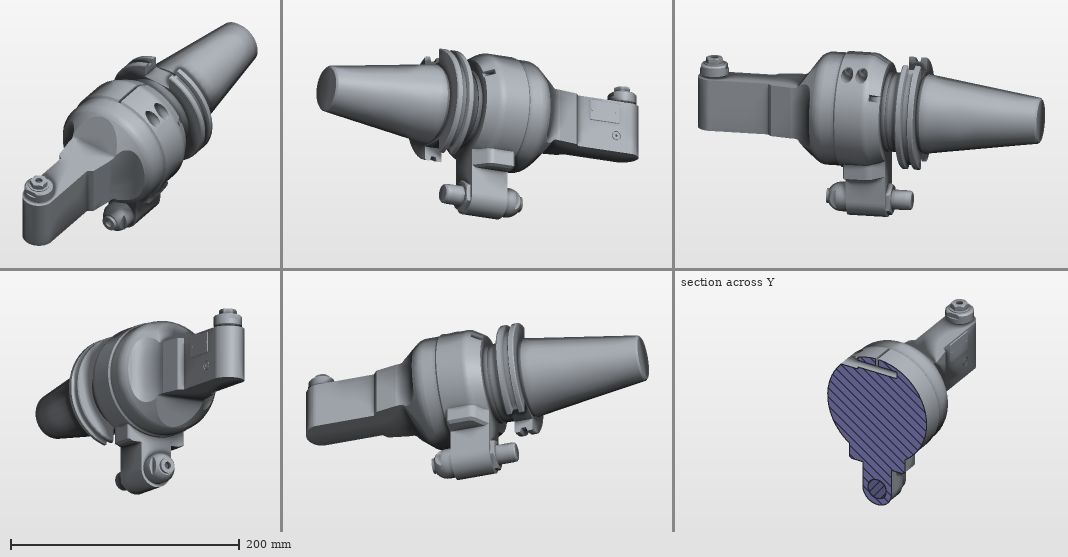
import cadquery as cq
import math


taper_length = 101.8
taper_large_radius = 35.1
taper_ratio = 7 / 24
taper_end_chamfer = 1.5
undercut_depth = 1.2
flange_radius = 49.5
flange_rear_y = -2.8
flange_front_y = -19.0
flange_edge_chamfer = 1.0
flange_groove_depth = 4.0
flange_groove_floor = 4.3
flange_groove_mouth = 6.7
flange_slot_width = 26.5
flange_slot_floor = 35.3
neck_radius = 35.0
neck_front_y = -28.5
spigot_radius = 33.7
spigot_front_y = -36.8

seal_rear_y = -30.7
ring_rear_y = -34.3
ring_cone_front_y = -43.2
ring_round_front_y = -50.0
ring_front_y = -72.3
ring_rear_radius = 43.5
ring_cone_radius = 48.9
ring_radius = 51.05
head_rear_y = -74.0
head_radius = 49.7
head_round_rear_y = -86.0
nose_rear_y = -93.5
nose_radius = 47.2
nose_cone_angle = 38.0
nose_core_radius = 33.7

spindle_y = -190.2
arm_half_height = 23.15
arm_half_width = 14.25
arm_tip_radius = 14.55
arm_tip_blend_radius = 8.5
waist_rear_y = -96.3
waist_rear_half_width = 41.0
waist_radius = 20.8
waist_front_y = -117.5
waist_half_width = 22.0
shoulder_rear_y = -135.8
shoulder_half_width = 18.7
shoulder_front_y = -139.5
slope_rear_y = -95.0
slope_rear_z = 45.7
slope_front_y = -111.3
slope_blend_radius = 4.0

slit_width = 2.5
slit_floor_z = 40.5
clamp_screw_y = (-52.0, -65.0)
clamp_screw_z = 40.5
clamp_counterbore_diameter = 10.5
clamp_counterbore_floor_x = 20.0
clamp_hole_diameter = 6.5
clamp_hole_end_x = -20.0
spanner_slot_angle = 30.0
spanner_slot_width = 5.8
spanner_slot_floor_radius = 41.7

bracket_front_y = -69.5
bracket_top_z = -38.3
bracket_half_width = 28.8
bracket_shoulder_half_width = 25.7
bracket_bottom_z = -57.0
bracket_edge_chamfer_width = 1.8
bracket_edge_chamfer_height = 3.0
bracket_corner_chamfer = 1.2
stem_half_width = 15.0
stem_bottom_z = -95.8

plate_length = 29.5
plate_height = 18.7
plate_center_y = -165.5
plate_center_z = 12.0
plate_thickness = 0.5
plate_corner_radius = 1.5
plate_edge_chamfer = 0.45
rivet_spacing = 24.0
rivet_diameter = 2.5
rivet_height = 1.07
plug_y = -177.2
plug_z = -8.5
plug_diameter = 7.0
plug_groove_diameter = 8.5
plug_groove_depth = 1.0
plug_socket_diameter = 2.6
plug_socket_depth = 1.8

pin_z = -80.0
pin_rear_y = -13.2
pin_diameter = 18.0
pin_chamfer = 1.2
pin_rear_diameter = 17.5
pin_rear_taper_front_y = -17.8
pin_rear_taper_depth = 0.3
pin_collar_rear_y = -28.8
pin_nut_rear_y = -30.5
pin_nut_corner_diameter = 28.8
pin_nut_chamfer_angle = 30.0
pin_head_diameter = 26.0
pin_dome_rear_y = -76.3
pin_dome_front_y = -86.5
pin_dome_front_diameter = 16.0
pin_tip_diameter = 13.5
pin_tip_y = -89.2
pin_flat_rear_y = -79.5
pin_flat_half_width = 9.5
pin_socket_diameter = 6.5
pin_socket_depth = 4.5

spindle_depth = 15.3
spindle_diameter = 18.0
nut_bottom_z = 24.5
nut_top_z = 34.5
nut_diameter = 25.0
nut_chamfer = 1.2
nut_flat_half_width = 10.95
nut_flat_bottom_z = 30.5
boss_top_z = 35.5
bolt_top_z = 40.2
bolt_corner_diameter = 15.5
bolt_chamfer_angle = 30.0
bolt_socket_diameter = 6.5
bolt_socket_depth = 3.0


def turned_about_y(profile):
    """Revolve a closed half profile, drawn in the XY plane at X >= 0, about the Y axis."""
    return profile.close().revolve(360, (0, 0, 0), (0, 1, 0))


def box_between(x_range, y_range, z_range):
    """Box given by its limits along each axis."""
    lows, highs = zip(x_range, y_range, z_range)
    size = [high - low for low, high in zip(lows, highs)]
    return cq.Workplane("XY").box(*size, centered=False).translate(lows)


def chamfered_hexagon(corner_diameter, height, chamfer_angle):
    """Hexagonal prism on Z = 0 with two corners on Y, its top corners turned off to a cone."""
    prism = cq.Workplane("XY").polygon(6, corner_diameter).extrude(height)
    prism = prism.rotate((0, 0, 0), (0, 0, 1), 90)
    corner_radius = corner_diameter / 2
    flat_radius = corner_radius * math.cos(math.radians(30))
    drop = (corner_radius - flat_radius) * math.tan(math.radians(chamfer_angle))
    turned = (
        cq.Workplane("XZ")
        .polyline([(0, 0), (corner_radius, 0), (corner_radius, height - drop), (flat_radius, height), (0, height)])
        .close()
        .revolve(360, (0, 0, 0), (0, 1, 0))
    )
    return prism.intersect(turned)


def make_shank():
    taper_small_radius = taper_large_radius - taper_length * taper_ratio / 2
    groove_center_y = (flange_rear_y + flange_front_y) / 2
    chamfered_rim = flange_radius - flange_edge_chamfer
    groove_radius = flange_radius - flange_groove_depth
    undercut_radius = taper_large_radius - undercut_depth
    profile = cq.Workplane("XY").polyline([
        (0, taper_length),
        (taper_small_radius - taper_end_chamfer, taper_length),
        (taper_small_radius, taper_length - taper_end_chamfer),
        (taper_large_radius, 0),
        (undercut_radius, 0),
        (undercut_radius, flange_rear_y),
        (chamfered_rim, flange_rear_y),
        (flange_radius, flange_rear_y - flange_edge_chamfer),
        (flange_radius, groove_center_y + flange_groove_mouth / 2),
        (groove_radius, groove_center_y + flange_groove_floor / 2),
        (groove_radius, groove_center_y - flange_groove_floor / 2),
        (flange_radius, groove_center_y - flange_groove_mouth / 2),
        (flange_radius, flange_front_y + flange_edge_chamfer),
        (chamfered_rim, flange_front_y),
        (neck_radius, flange_front_y),
        (neck_radius, neck_front_y),
        (spigot_radius, neck_front_y),
        (spigot_radius, spigot_front_y),
        (0, spigot_front_y),
    ])
    shank = turned_about_y(profile)
    for side in (1, -1):
        z_range = sorted((side * flange_slot_floor, side * 2 * flange_radius))
        slot = box_between(
            (-flange_slot_width / 2, flange_slot_width / 2), (flange_front_y, flange_rear_y), z_range
        )
        shank = shank.cut(slot)
    return shank


def turned_housing():
    core_rear_y = nose_rear_y - (nose_radius - nose_core_radius) / math.tan(math.radians(nose_cone_angle))
    arm_end_y = spindle_y - 2 * arm_tip_radius
    profile = (
        cq.Workplane("XY")
        .moveTo(0, arm_end_y)
        .lineTo(nose_core_radius, arm_end_y)
        .lineTo(nose_core_radius, core_rear_y)
        .lineTo(nose_radius, nose_rear_y)
        .tangentArcPoint((head_radius, head_round_rear_y), relative=False)
        .lineTo(head_radius, head_rear_y)
        .lineTo(ring_radius, ring_front_y)
        .lineTo(ring_radius, ring_round_front_y)
        .tangentArcPoint((ring_cone_radius, ring_cone_front_y), relative=False)
        .lineTo(ring_rear_radius, ring_rear_y)
        .lineTo(neck_radius, ring_rear_y)
        .lineTo(neck_radius, seal_rear_y)
        .lineTo(spigot_radius, seal_rear_y)
        .lineTo(spigot_radius, spigot_front_y)
        .lineTo(0, spigot_front_y)
    )
    return turned_about_y(profile)


def plan_envelope():
    """Outline of the housing as seen along Z: full width behind the waist, the arm in front of it."""
    full = 2 * ring_radius
    tip_start_y = spindle_y - math.sqrt(arm_tip_radius**2 - arm_half_width**2)
    half = (
        cq.Workplane("XY")
        .moveTo(0, 0)
        .lineTo(full, 0)
        .lineTo(full, waist_rear_y)
        .lineTo(waist_rear_half_width, waist_rear_y)
        .radiusArc((waist_half_width, waist_front_y), -waist_radius)
        .lineTo(shoulder_half_width, shoulder_rear_y)
        .lineTo(arm_half_width, shoulder_front_y)
        .lineTo(arm_half_width, tip_start_y)
        .radiusArc((0, spindle_y - arm_tip_radius), arm_tip_radius)
        .close()
        .extrude(full, both=True)
    )
    tip_corner = cq.selectors.NearestToPointSelector((arm_half_width, tip_start_y, 0))
    half = half.edges("|Z").edges(tip_corner).fillet(arm_tip_blend_radius)
    return half.union(half.mirror("YZ"))


def side_envelope():
    """Outline of the housing as seen along X: sloped nose faces running into the level arm faces."""
    full = 2 * ring_radius
    arm_end_y = spindle_y - 2 * arm_tip_radius
    slope = (slope_rear_z - arm_half_height) / (slope_rear_y - slope_front_y)
    top_y = slope_rear_y + (full - slope_rear_z) / slope
    half = (
        cq.Workplane("YZ")
        .polyline([
            (0, 0), (0, full), (top_y, full), (slope_front_y, arm_half_height),
            (arm_end_y, arm_half_height), (arm_end_y, 0),
        ])
        .close()
        .extrude(full, both=True)
    )
    slope_foot = cq.selectors.NearestToPointSelector((0, slope_front_y, arm_half_height))
    half = half.edges("|X").edges(slope_foot).fillet(slope_blend_radius)
    return half.union(half.mirror("XY"))


def make_bracket():
    """Plate that narrows to the stem's width at the rear, with the round-ended stem below it."""
    plate = (
        cq.Workplane("XY", origin=(0, 0, bracket_bottom_z))
        .moveTo(-bracket_half_width, bracket_front_y)
        .lineTo(bracket_half_width, bracket_front_y)
        .lineTo(bracket_half_width, ring_round_front_y)
        .tangentArcPoint((bracket_shoulder_half_width, ring_cone_front_y), relative=False)
        .lineTo(stem_half_width, ring_rear_y)
        .lineTo(-stem_half_width, ring_rear_y)
        .lineTo(-bracket_shoulder_half_width, ring_cone_front_y)
        .tangentArcPoint((-bracket_half_width, ring_round_front_y), relative=False)
        .close()
        .extrude(bracket_top_z - bracket_bottom_z)
    )
    plate = plate.edges("|Z").edges("<Y").chamfer(bracket_corner_chamfer)
    plate = plate.faces("<Z").edges("not >Y").edges("not <Y").chamfer(
        bracket_edge_chamfer_height, bracket_edge_chamfer_width
    )
    stem_length = ring_rear_y - bracket_front_y
    stem_center_z = stem_bottom_z + stem_half_width
    stem = box_between(
        (-stem_half_width, stem_half_width), (bracket_front_y, ring_rear_y), (stem_center_z, bracket_top_z)
    )
    stem_end = (
        cq.Workplane("XZ", origin=(0, ring_rear_y, stem_center_z)).circle(stem_half_width).extrude(stem_length)
    )
    return plate.union(stem).union(stem_end)


def clamp_slit():
    return box_between(
        (-slit_width / 2, slit_width / 2), (head_rear_y, ring_rear_y), (slit_floor_z, 2 * ring_radius)
    )


def clamp_screw_hole(y):
    """Counterbored screw hole along X, entering the ring from its +X side and crossing the slit."""
    center = (clamp_hole_end_x, y, clamp_screw_z)
    hole = (
        cq.Workplane("YZ", origin=center)
        .circle(clamp_hole_diameter / 2)
        .extrude(ring_radius - clamp_hole_end_x)
    )
    counterbore = (
        cq.Workplane("YZ", origin=(clamp_counterbore_floor_x, y, clamp_screw_z))
        .circle(clamp_counterbore_diameter / 2)
        .extrude(ring_radius)
    )
    return hole.union(counterbore)


def spanner_slot(angle):
    """Radial slot across the ring's rear cone, at an angle measured from +X towards +Z."""
    slot = box_between(
        (spanner_slot_floor_radius, 2 * ring_radius),
        (ring_cone_front_y, ring_rear_y),
        (-spanner_slot_width / 2, spanner_slot_width / 2),
    )
    return slot.rotate((0, 0, 0), (0, 1, 0), -angle)


def arm_side(y, z):
    """Sketch plane on the arm's -X side, centred at the given place and facing outwards."""
    plane = cq.Plane(origin=(-arm_half_width, y, z), xDir=(0, -1, 0), normal=(-1, 0, 0))
    return cq.Workplane(plane)


def name_plate():
    plate = (
        arm_side(plate_center_y, plate_center_z)
        .rect(plate_length, plate_height)
        .extrude(plate_thickness)
        .edges("|X")
        .fillet(plate_corner_radius)
        .faces("<X")
        .chamfer(plate_edge_chamfer)
    )
    rivets = (
        arm_side(plate_center_y, plate_center_z)
        .pushPoints([(-rivet_spacing / 2, 0), (rivet_spacing / 2, 0)])
        .circle(rivet_diameter / 2)
        .extrude(rivet_height)
    )
    return plate.union(rivets)


def plug_cutter():
    groove = (
        arm_side(plug_y, plug_z)
        .circle(plug_groove_diameter / 2)
        .circle(plug_diameter / 2)
        .extrude(-plug_groove_depth)
    )
    socket = arm_side(plug_y, plug_z).polygon(6, plug_socket_diameter).extrude(-plug_socket_depth)
    return groove.union(socket)


def make_housing():
    housing = turned_housing().intersect(plan_envelope()).intersect(side_envelope())
    housing = housing.union(make_bracket()).union(name_plate())
    housing = housing.cut(clamp_slit()).cut(plug_cutter())
    for y in clamp_screw_y:
        housing = housing.cut(clamp_screw_hole(y))
    for angle in (spanner_slot_angle, 180 - spanner_slot_angle):
        housing = housing.cut(spanner_slot(angle))
    pin_bore = (
        cq.Workplane("XZ", origin=(0, ring_rear_y, pin_z))
        .circle(pin_diameter / 2)
        .extrude(ring_rear_y - bracket_front_y)
    )
    spindle_bore = (
        cq.Workplane("XY", origin=(0, spindle_y, arm_half_height))
        .circle(spindle_diameter / 2)
        .extrude(-spindle_depth)
    )
    return housing.cut(pin_bore).cut(spindle_bore)


def make_stop_pin():
    pin_radius = pin_diameter / 2
    pin_rear_radius = pin_rear_diameter / 2
    pin_rear_end_radius = pin_rear_radius - pin_rear_taper_depth
    head_radius_of_pin = pin_head_diameter / 2
    profile = (
        cq.Workplane("XY")
        .moveTo(0, pin_rear_y)
        .lineTo(pin_rear_end_radius - pin_chamfer, pin_rear_y)
        .lineTo(pin_rear_end_radius, pin_rear_y - pin_chamfer)
        .lineTo(pin_rear_radius, pin_rear_taper_front_y)
        .lineTo(pin_rear_radius, pin_collar_rear_y)
        .lineTo(pin_radius, pin_nut_rear_y)
        .lineTo(pin_radius, bracket_front_y)
        .lineTo(head_radius_of_pin, bracket_front_y)
        .lineTo(head_radius_of_pin, pin_dome_rear_y)
        .tangentArcPoint((pin_dome_front_diameter / 2, pin_dome_front_y), relative=False)
        .lineTo(pin_tip_diameter / 2, pin_dome_front_y)
        .lineTo(pin_tip_diameter / 2, pin_tip_y)
        .lineTo(0, pin_tip_y)
    )
    pin = turned_about_y(profile)
    for side in (1, -1):
        x_range = sorted((side * pin_flat_half_width, side * pin_head_diameter))
        flat = box_between(x_range, (pin_tip_y, pin_flat_rear_y), (-pin_head_diameter, pin_head_diameter))
        pin = pin.cut(flat)
    nut = chamfered_hexagon(pin_nut_corner_diameter, pin_nut_rear_y - ring_rear_y, pin_nut_chamfer_angle)
    nut = nut.rotate((0, 0, 0), (1, 0, 0), -90).translate((0, ring_rear_y, 0))
    socket = cq.Workplane("XZ", origin=(0, pin_tip_y, 0)).circle(pin_socket_diameter / 2).extrude(-pin_socket_depth)
    return pin.union(nut).cut(socket).translate((0, 0, pin_z))


def make_spindle():
    shaft_bottom_z = arm_half_height - spindle_depth
    shaft = (
        cq.Workplane("XY", origin=(0, 0, shaft_bottom_z))
        .circle(spindle_diameter / 2)
        .extrude(boss_top_z - shaft_bottom_z)
    )
    nut = (
        cq.Workplane("XY", origin=(0, 0, nut_bottom_z))
        .circle(nut_diameter / 2)
        .extrude(nut_top_z - nut_bottom_z)
        .edges()
        .chamfer(nut_chamfer)
    )
    for side in (1, -1):
        y_range = sorted((side * nut_flat_half_width, side * nut_diameter))
        nut = nut.cut(box_between((-nut_diameter, nut_diameter), y_range, (nut_flat_bottom_z, bolt_top_z)))
    bolt = chamfered_hexagon(bolt_corner_diameter, bolt_top_z - boss_top_z, bolt_chamfer_angle)
    bolt = bolt.translate((0, 0, boss_top_z))
    socket = (
        cq.Workplane("XY", origin=(0, 0, bolt_top_z)).circle(bolt_socket_diameter / 2).extrude(-bolt_socket_depth)
    )
    return shaft.union(nut).union(bolt).cut(socket).translate((0, spindle_y, 0))


shank = make_shank()
housing = make_housing()
stop_pin = make_stop_pin()
spindle = make_spindle()

result = cq.Compound.makeCompound([shank.val(), housing.val(), stop_pin.val(), spindle.val()])